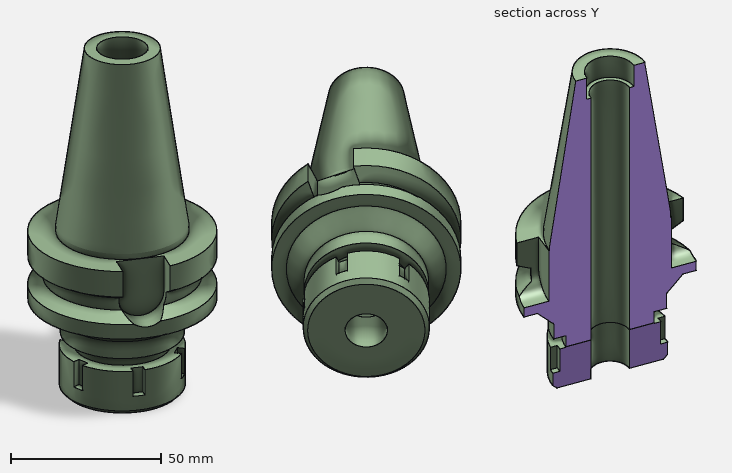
import cadquery as cq

through_radius = 7.0

nut_radius = 21.0
nut_height = 16.0
nut_chamfer = 1.5
nut_slot_count = 6
nut_slot_width = 4.0
nut_slot_floor_radius = 18.4
nut_slot_bottom = 6.8

neck_radius = 16.2
collar_radius = 20.7
cone_top_radius = 26.6
flange_radius = 31.5
groove_radius = 26.5
gauge_radius = 22.2
taper_tip_radius = 12.7

collar_bottom = 20.7
collar_top = 27.0
flange_bottom = 33.1
groove_lower_rim = 38.5
groove_floor_bottom = 41.4
groove_floor_top = 45.9
groove_upper_rim = 48.7
flange_top = 58.0
gauge_level = 60.0
total_height = 125.4

counterbore_radius = 8.5
counterbore_depth = 8.8

drive_slot_width = 16.3
drive_slot_bottom = 37.1
drive_slot_floor = 22.5


def make_nut():
    """Chamfered ring with open-topped wrench slots around its outside."""
    nut = (
        cq.Workplane("XY")
        .circle(nut_radius)
        .extrude(nut_height)
        .faces("<Z")
        .chamfer(nut_chamfer)
    )
    bore = cq.Workplane("XY").circle(through_radius).extrude(nut_height)
    nut = nut.cut(bore)

    slot_depth = nut_radius - nut_slot_floor_radius
    slot = cq.Workplane("XY").box(
        2 * slot_depth,
        nut_slot_width,
        nut_height - nut_slot_bottom,
        centered=(False, True, False),
    )
    slot = slot.translate((nut_slot_floor_radius, 0, nut_slot_bottom))
    for index in range(nut_slot_count):
        angle = index * 360 / nut_slot_count
        nut = nut.cut(slot.rotate((0, 0, 0), (0, 0, 1), angle))
    return nut


def make_holder_blank():
    """Revolved neck, collar, grooved flange and taper."""
    profile = [
        (0, nut_height),
        (neck_radius, nut_height),
        (neck_radius, collar_bottom),
        (collar_radius, collar_bottom),
        (collar_radius, collar_top),
        (cone_top_radius, flange_bottom),
        (flange_radius, flange_bottom),
        (flange_radius, groove_lower_rim),
        (groove_radius, groove_floor_bottom),
        (groove_radius, groove_floor_top),
        (flange_radius, groove_upper_rim),
        (flange_radius, flange_top),
        (gauge_radius, flange_top),
        (gauge_radius, gauge_level),
        (taper_tip_radius, total_height),
        (0, total_height),
    ]
    return cq.Workplane("XZ").polyline(profile).close().revolve(360, (0, 0), (0, 1))


def make_drive_slot():
    """Cutter for the +X drive slot: open at the top, round at the bottom."""
    half_width = drive_slot_width / 2
    arc_center = drive_slot_bottom + half_width
    return (
        cq.Workplane("YZ", origin=(drive_slot_floor, 0, 0))
        .moveTo(-half_width, flange_top)
        .lineTo(-half_width, arc_center)
        .threePointArc((0, drive_slot_bottom), (half_width, arc_center))
        .lineTo(half_width, flange_top)
        .close()
        .extrude(flange_radius - drive_slot_floor)
    )


def make_holder():
    """Tool holder with its stepped bore and two opposite drive slots."""
    holder = make_holder_blank()
    bore = cq.Workplane("XY").circle(through_radius).extrude(total_height)
    counterbore = (
        cq.Workplane("XY", origin=(0, 0, total_height - counterbore_depth))
        .circle(counterbore_radius)
        .extrude(counterbore_depth)
    )
    holder = holder.cut(bore).cut(counterbore)
    drive_slot = make_drive_slot()
    for angle in (0, 180):
        holder = holder.cut(drive_slot.rotate((0, 0, 0), (0, 0, 1), angle))
    return holder


nut = make_nut()
holder = make_holder()
result = cq.Compound.makeCompound([holder.val(), nut.val()])